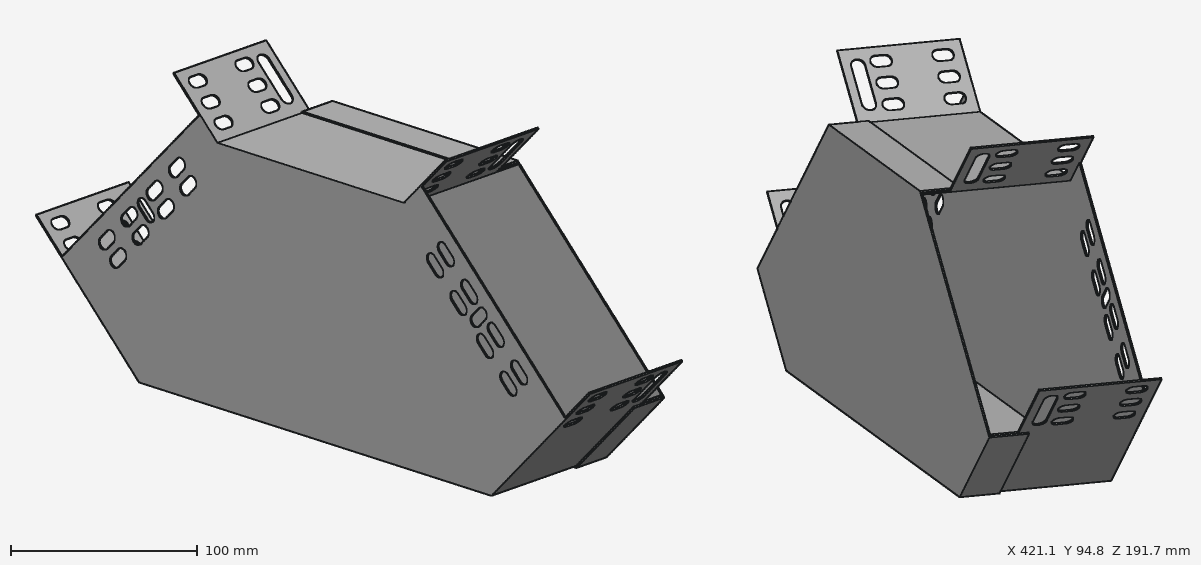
import cadquery as cq
import math


WIDTH = 151.5
DEPTH = 86.7
SHEET = 1.0
ARM_ANGLE = 45.0
MIDDLE_HALF = 102.0
INNER_ARM = 18.5

TAB_REACH = 27.0
TAB_HEIGHT = 70.0

COVER_SETBACK = 18.0
LIP_HEIGHT = 22.7

SLOT_WIDTH = 7.0
TAB_SLOT_LENGTH = 12.2
WEB_SLOT_LENGTH = 14.7
WEB_ROW_DEPTHS = (12.0, 23.5)
WEB_SLOT_OFFSETS = (14.0, 38.5)
CROSS_SLOT_DEPTH = 16.0
TAB_SLOT_PITCH = 13.5
TAB_COLUMN = 4.5
TAB_ROWS = (12.0, 47.0)
LONG_SLOT_LENGTH = 31.5
LONG_SLOT_WIDTH = 8.0
LONG_SLOT_HEIGHT = 60.5

TILT_X = -0.3
TILT_Y = -1.6
TILT_Z = 1.22

MITRE_SLOPE = math.tan(math.radians(ARM_ANGLE / 2))
ARM_X = math.cos(math.radians(ARM_ANGLE))
ARM_Z = math.sin(math.radians(ARM_ANGLE))
ARM_LENGTH = INNER_ARM + WIDTH / 2 * MITRE_SLOPE
ARM_END = (MIDDLE_HALF + ARM_LENGTH * ARM_X, WIDTH / 2 + ARM_LENGTH * ARM_Z)


def arm_point(outward, inward):
    """Point (x, z) on the right arm, from the centre of its end: along the arm and across it."""
    return (
        ARM_END[0] + outward * ARM_X - inward * ARM_Z,
        ARM_END[1] + outward * ARM_Z + inward * ARM_X,
    )


def mitre_point(z):
    """Point (x, z) on the right bend line at height z of the middle run."""
    return (MIDDLE_HALF + (WIDTH / 2 - z) * MITRE_SLOPE, z)


def elbow_band(z_low, z_high, outward, y_start, y_end):
    """Solid following the elbow between two offsets across its width."""
    right = [
        mitre_point(z_low),
        arm_point(outward, z_low - WIDTH / 2),
        arm_point(outward, z_high - WIDTH / 2),
        mitre_point(z_high),
    ]
    left = [(-x, z) for x, z in reversed(right)]
    plane = cq.Workplane("XZ", origin=(0, y_start, 0))
    return plane.polyline(right + left).close().extrude(y_start - y_end)


def web_slots():
    """Cutters for the slots through the tray web at the right arm end."""
    web = cq.Workplane("XZ")
    across = [
        arm_point(-depth, side * offset)
        for depth in WEB_ROW_DEPTHS
        for offset in WEB_SLOT_OFFSETS
        for side in (-1, 1)
    ]
    rows = web.pushPoints(across).slot2D(WEB_SLOT_LENGTH, SLOT_WIDTH, ARM_ANGLE + 90).extrude(-SHEET)
    centre = [arm_point(-CROSS_SLOT_DEPTH, 0)]
    cross = web.pushPoints(centre).slot2D(WEB_SLOT_LENGTH, SLOT_WIDTH, ARM_ANGLE).extrude(-SHEET)
    return rows.add(cross).combine()


def tab_slots():
    """Cutters through both joining tabs of the right arm."""
    end_plane = cq.Plane(
        origin=(ARM_END[0], 0, ARM_END[1]), xDir=(ARM_X, 0, ARM_Z), normal=(-ARM_Z, 0, ARM_X)
    )
    arm = cq.Workplane(end_plane)
    grid = [
        (TAB_COLUMN + step * TAB_SLOT_PITCH, height) for step in (-1, 0, 1) for height in TAB_ROWS
    ]
    small = arm.pushPoints(grid).slot2D(TAB_SLOT_LENGTH, SLOT_WIDTH, 90).extrude(WIDTH / 2, both=True)
    long_slot = arm.center(TAB_COLUMN, LONG_SLOT_HEIGHT).slot2D(LONG_SLOT_LENGTH, LONG_SLOT_WIDTH)
    return small.union(long_slot.extrude(WIDTH / 2, both=True))


def make_tray():
    """Web, two full-depth flanges and the four slotted joining tabs."""
    tray = elbow_band(0, WIDTH, 0, 0, SHEET)
    for z_low in (0, WIDTH - SHEET):
        tray = tray.union(elbow_band(z_low, z_low + SHEET, -COVER_SETBACK, 0, DEPTH - SHEET))
        tray = tray.union(elbow_band(z_low, z_low + SHEET, TAB_REACH, 0, TAB_HEIGHT))
    for cutter in (web_slots(), tab_slots()):
        tray = tray.cut(cutter).cut(cutter.mirror("YZ"))
    return tray


def make_cover():
    """Back plate with a lip folded over the outside of each tray flange."""
    cover = elbow_band(-SHEET, WIDTH + SHEET, -COVER_SETBACK, DEPTH - SHEET, DEPTH)
    for z_low in (-SHEET, WIDTH):
        cover = cover.union(elbow_band(z_low, z_low + SHEET, -COVER_SETBACK, DEPTH - LIP_HEIGHT, DEPTH))
    return cover


def tilt(body):
    """Turn a body from the elbow's own frame to its place in the assembly."""
    turned = body.rotate((0, 0, 0), (1, 0, 0), TILT_X)
    turned = turned.rotate((0, 0, 0), (0, 1, 0), TILT_Y)
    return turned.rotate((0, 0, 0), (0, 0, 1), TILT_Z)


tray = tilt(make_tray())
cover = tilt(make_cover())

result = cq.Compound.makeCompound([tray.val(), cover.val()])